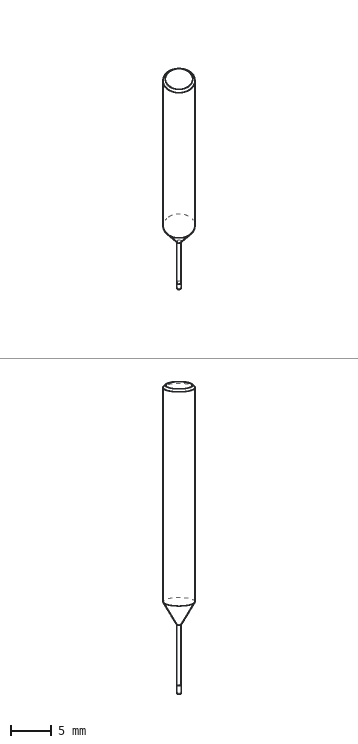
import cadquery as cq
import math

total_length = 40.0
shank_radius = 2.0
shank_bottom = 12.0
end_chamfer = 0.3
taper_half_angle = 30.0
neck_radius = 0.3
cutter_radius = 0.3
cutter_length = 1.2

taper_length = (shank_radius - neck_radius) / math.tan(math.radians(taper_half_angle))
neck_top = shank_bottom - taper_length


def make_holder():
    """Neck, taper and chamfered shank, revolved as one solid above the cutter."""
    return (
        cq.Workplane("XZ")
        .moveTo(0, cutter_length)
        .lineTo(neck_radius, cutter_length)
        .lineTo(neck_radius, neck_top)
        .lineTo(shank_radius, shank_bottom)
        .lineTo(shank_radius, total_length - end_chamfer)
        .lineTo(shank_radius - end_chamfer, total_length)
        .lineTo(0, total_length)
        .close()
        .revolve(360, (0, 0, 0), (0, 1, 0))
    )


def make_cutter():
    """Cylindrical cutter with a hemispherical tip resting at Z = 0."""
    arc_offset = cutter_radius * math.sqrt(0.5)
    return (
        cq.Workplane("XZ")
        .moveTo(0, 0)
        .threePointArc((arc_offset, cutter_radius - arc_offset), (cutter_radius, cutter_radius))
        .lineTo(cutter_radius, cutter_length)
        .lineTo(0, cutter_length)
        .close()
        .revolve(360, (0, 0, 0), (0, 1, 0))
    )


holder = make_holder()
cutter = make_cutter()

result = cq.Compound.makeCompound([holder.val(), cutter.val()])